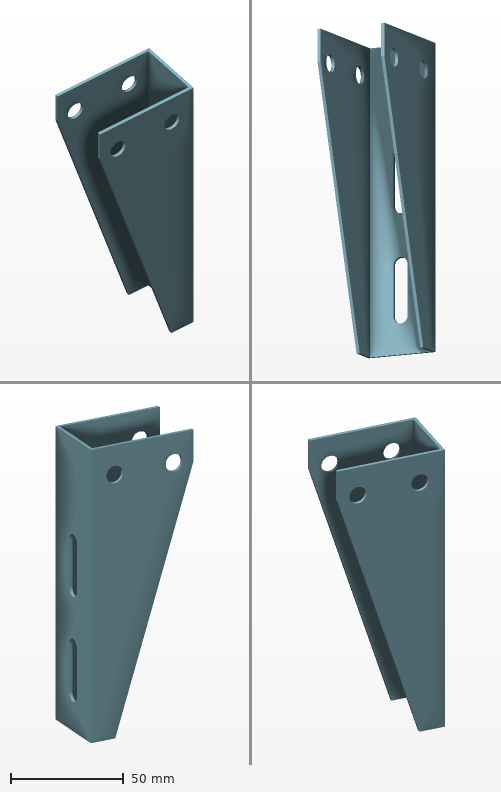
import cadquery as cq

width = 33.0
depth = 52.0
height = 140.0
sheet = 1.5

bottom_depth = 12.3
straight_edge = 15.0

hole_diameter = 8.3
hole_back_offset = 12.0
hole_spacing = 30.0
hole_top_offset = 14.0

slot_width = 7.0
slot_length = 30.0
lower_slot_z = 29.1
slot_spacing = 50.0



def tapered_channel():
    """Side profile extruded across the width and hollowed into a U section."""
    side_profile = [
        (0, 0),
        (0, height),
        (-depth, height),
        (-depth, height - straight_edge),
        (-bottom_depth, 0),
    ]
    block = cq.Workplane("YZ").polyline(side_profile).close().extrude(width / 2, both=True)
    interior = (
        cq.Workplane("XY")
        .box(width - 2 * sheet, depth, height, centered=(True, False, False))
        .translate((0, -depth - sheet, 0))
    )
    return block.cut(interior)


def flange_holes():
    """Pair of cylinders that cross both flanges."""
    centers = [(-hole_back_offset - i * hole_spacing, height - hole_top_offset) for i in range(2)]
    return (
        cq.Workplane("YZ")
        .pushPoints(centers)
        .circle(hole_diameter / 2)
        .extrude(width, both=True)
    )


def web_slots():
    """Two upright round-ended slots, one above the other."""
    centers = [(0, lower_slot_z + i * slot_spacing) for i in range(2)]
    return (
        cq.Workplane("XZ")
        .pushPoints(centers)
        .slot2D(slot_length, slot_width, 90)
        .extrude(2 * sheet, both=True)
    )


result = tapered_channel().cut(flange_holes()).cut(web_slots())